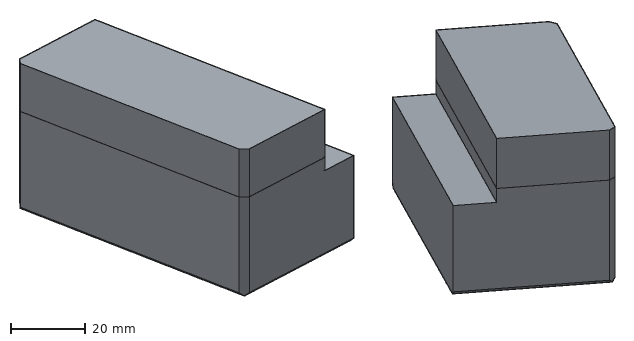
import cadquery as cq

length = 82.0
depth = 45.0
height = 44.5

base_height = 30.0
cover_height = height - base_height

step_depth = 12.0
step_height = 26.0
cover_depth = depth - step_depth

corner_chamfer = 2.0
bottom_chamfer = corner_chamfer / 2


def plan_prism(prism_depth, bottom, prism_height):
    """Upright block whose two front corners are bevelled; its front lies at Y = 0."""
    half_length = length / 2
    return (
        cq.Workplane("XY", origin=(0, 0, bottom))
        .moveTo(-half_length, prism_depth)
        .lineTo(-half_length, corner_chamfer)
        .lineTo(-half_length + corner_chamfer, 0)
        .lineTo(half_length - corner_chamfer, 0)
        .lineTo(half_length, corner_chamfer)
        .lineTo(half_length, prism_depth)
        .close()
        .extrude(prism_height)
    )


def make_base():
    """Base with a lower step at the back and bevelled front and side bottom edges."""
    block = cq.Workplane("XY").box(length, depth, base_height, centered=(True, False, False))
    block = block.faces("<Z").edges("<X or >X or <Y").chamfer(bottom_chamfer)
    base = block.intersect(plan_prism(depth, 0, base_height))
    step_cut = cq.Workplane("XY", origin=(0, cover_depth, step_height)).box(
        length, step_depth, base_height - step_height, centered=(True, False, False)
    )
    return base.cut(step_cut).solids()


def make_cover():
    """Plain cover that sits on the raised front part of the base."""
    return plan_prism(cover_depth, base_height, cover_height)


base = make_base()
cover = make_cover()

result = cq.Compound.makeCompound([base.val(), cover.val()])